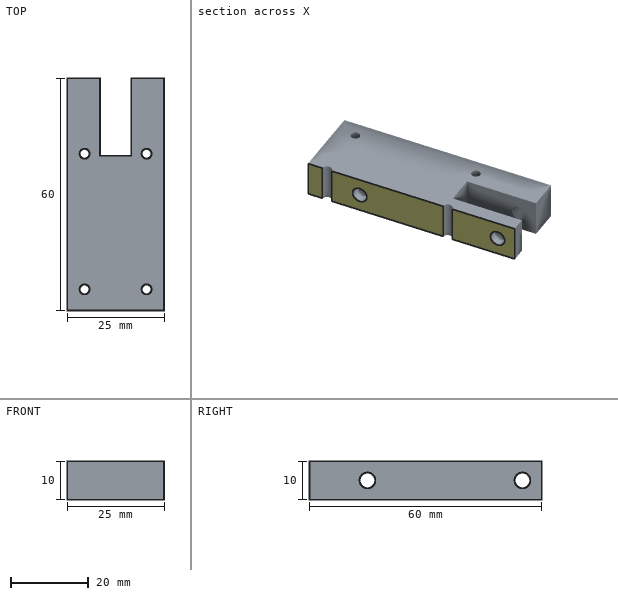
import cadquery as cq

width = 25.0
length = 60.0
height = 10.0

slot_width = 8.0
slot_depth = 20.0

mount_diameter = 2.5
mount_spacing_x = 16.0
mount_spacing_y = 35.0
mount_front_offset = 5.5

cross_diameter = 4.0
cross_back_offset = 5.0
cross_spacing = 40.0

front_y = -length / 2
back_y = length / 2


def make_block():
    return cq.Workplane("XY").box(width, length, height)


def make_slot():
    slot_center_y = back_y - slot_depth / 2
    return cq.Workplane("XY").box(slot_width, slot_depth, height).translate((0, slot_center_y, 0))


def make_mount_holes():
    center_y = front_y + mount_front_offset + mount_spacing_y / 2
    return (
        cq.Workplane("XY", origin=(0, center_y, -height / 2))
        .rarray(mount_spacing_x, mount_spacing_y, 2, 2)
        .circle(mount_diameter / 2)
        .extrude(height)
    )


def make_cross_holes():
    prong_hole_y = back_y - cross_back_offset
    body_hole_y = prong_hole_y - cross_spacing
    return (
        cq.Workplane("YZ", origin=(-width / 2, 0, 0))
        .pushPoints([(prong_hole_y, 0), (body_hole_y, 0)])
        .circle(cross_diameter / 2)
        .extrude(width)
    )


result = make_block().cut(make_slot()).cut(make_mount_holes()).cut(make_cross_holes())